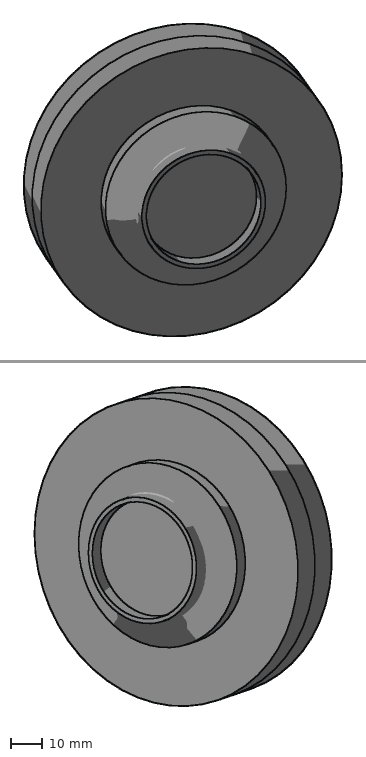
import cadquery as cq

flange_diameter = 100.0
joint_length = 48.0
flange_thickness = 10.0

hub_diameter = 60.0
hub_end = 15.0
taper_end = 18.8
neck_diameter = 41.0
neck_root_radius = 1.0

bore_diameter = 38.0
bore_depth = 5.0

half_length = joint_length / 2


def make_flange_blank():
    """Revolve the stepped outer shape of the flange on the +X side."""
    flange_radius = flange_diameter / 2
    hub_radius = hub_diameter / 2
    neck_radius = neck_diameter / 2
    return (
        cq.Workplane("XY")
        .moveTo(0, 0)
        .lineTo(0, flange_radius)
        .lineTo(flange_thickness, flange_radius)
        .lineTo(flange_thickness, hub_radius)
        .lineTo(hub_end, hub_radius)
        .lineTo(taper_end, neck_radius)
        .lineTo(half_length, neck_radius)
        .lineTo(half_length, 0)
        .close()
        .revolve(360, (0, 0, 0), (1, 0, 0))
    )


def round_neck_root(flange):
    """Fillet the inside corner where the taper meets the neck."""
    root_point = (taper_end, 0, 0)
    return flange.edges(cq.NearestToPointSelector(root_point)).fillet(neck_root_radius)


def cut_bore(flange):
    """Sink the blind bore into the neck end."""
    bore = (
        cq.Workplane("YZ", origin=(half_length - bore_depth, 0, 0))
        .circle(bore_diameter / 2)
        .extrude(bore_depth)
    )
    return flange.cut(bore)


def make_flange(side):
    """Build one flange: side is +1 for the +X flange, -1 for the -X flange."""
    flange = cut_bore(round_neck_root(make_flange_blank()))
    if side < 0:
        flange = flange.mirror("YZ")
    return flange


flanges = [make_flange(side).val() for side in (-1, 1)]

result = cq.Compound.makeCompound(flanges)